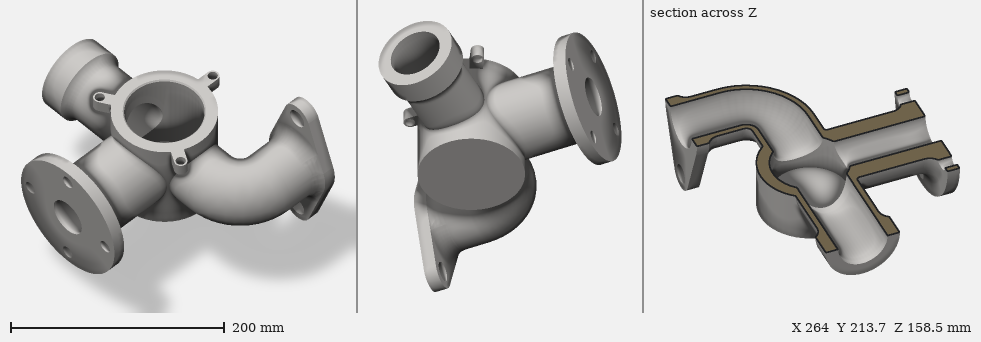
import cadquery as cq
import math

OVERALL_LENGTH = 264
GRID = OVERALL_LENGTH / 21

BODY_RADIUS = 4 * GRID
BODY_HALF_HEIGHT = 4 * GRID
CHAMBER_RADIUS = 3 * GRID
FLOOR_THICKNESS = GRID
RIM_CHAMFER = 1.3

LUG_COUNT = 3
LUG_REACH = 5 * GRID
LUG_RADIUS = GRID / 2
LUG_THICKNESS = GRID
LUG_HOLE_RADIUS = 4.8

PIPE_RADIUS = 2.5 * GRID
PIPE_BORE_RADIUS = 2 * GRID
COLLAR_END = 10 * GRID
COLLAR_LENGTH = 2 * GRID
COLLAR_RADIUS = 3 * GRID
BLEND_RADIUS = GRID

BEND_RADIUS = 3 * GRID
BEND_START_X = 5 * GRID
OUTLET_X = BEND_START_X + BEND_RADIUS
OUTLET_END_Y = 7 * GRID

OUTLET_FLANGE_THICKNESS = GRID
OUTLET_FLANGE_RADIUS = 3 * GRID
EAR_OFFSET = 5 * GRID
EAR_RADIUS = 16.4
EAR_HOLE_RADIUS = 9.5

BRANCH_RADIUS = 3 * GRID
BRANCH_BORE_RADIUS = 1.5 * GRID
BRANCH_END = 10 * GRID
BRANCH_FLANGE_RADIUS = 5 * GRID
BRANCH_FLANGE_THICKNESS = GRID
BOLT_CIRCLE_RADIUS = 4 * GRID
BOLT_HOLE_RADIUS = GRID / 2
BOLT_COUNT = 4


def rod(radius, start, direction, length):
    """Solid cylinder from a start point along a direction."""
    return cq.Workplane(cq.Solid.makeCylinder(radius, length, cq.Vector(*start), cq.Vector(*direction)))


def branch():
    """Flanged pipe pointing to -Y, with a concave blend behind its flange."""
    face = BRANCH_END - BRANCH_FLANGE_THICKNESS
    blend_start = face - BLEND_RADIUS
    blend_drop = BLEND_RADIUS * math.sqrt(0.5)
    blend_top = BRANCH_RADIUS + BLEND_RADIUS
    profile = (
        cq.Workplane("XY")
        .lineTo(BRANCH_RADIUS, 0)
        .lineTo(BRANCH_RADIUS, -blend_start)
        .threePointArc((blend_top - blend_drop, -blend_start - blend_drop), (blend_top, -face))
        .lineTo(BRANCH_FLANGE_RADIUS, -face)
        .lineTo(BRANCH_FLANGE_RADIUS, -BRANCH_END)
        .lineTo(0, -BRANCH_END)
        .close()
    )
    solid = profile.revolve(360, (0, 0, 0), (0, 1, 0))
    for i in range(BOLT_COUNT):
        angle = 2 * math.pi * i / BOLT_COUNT
        start = (BOLT_CIRCLE_RADIUS * math.cos(angle), -BRANCH_END, BOLT_CIRCLE_RADIUS * math.sin(angle))
        solid = solid.cut(rod(BOLT_HOLE_RADIUS, start, (0, 1, 0), BRANCH_FLANGE_THICKNESS + BLEND_RADIUS))
    return solid


def collared_pipe():
    """Pipe pointing to -X; an arc tangent to the pipe rises to the end collar."""
    collar_face = COLLAR_END - COLLAR_LENGTH
    rise = COLLAR_RADIUS - PIPE_RADIUS
    blend_angle = math.acos(1 - rise / BLEND_RADIUS)
    blend_start = collar_face - BLEND_RADIUS * math.sin(blend_angle)
    blend_middle = (
        -blend_start - BLEND_RADIUS * math.sin(blend_angle / 2),
        PIPE_RADIUS + BLEND_RADIUS * (1 - math.cos(blend_angle / 2)),
    )
    profile = (
        cq.Workplane("XY")
        .lineTo(0, PIPE_RADIUS)
        .lineTo(-blend_start, PIPE_RADIUS)
        .threePointArc(blend_middle, (-collar_face, COLLAR_RADIUS))
        .lineTo(-COLLAR_END, COLLAR_RADIUS)
        .lineTo(-COLLAR_END, 0)
        .close()
    )
    return profile.revolve(360, (0, 0, 0), (1, 0, 0))


def elbow_run(radius):
    """Round rod from the origin along +X, around the bend and up to the outlet face."""
    straight = rod(radius, (0, 0, 0), (1, 0, 0), BEND_START_X)
    bend = (
        cq.Workplane("YZ", origin=(BEND_START_X, 0, 0))
        .circle(radius)
        .revolve(90, (BEND_RADIUS, 0, 0), (BEND_RADIUS, 1, 0))
    )
    outlet = rod(radius, (OUTLET_X, BEND_RADIUS, 0), (0, 1, 0), OUTLET_END_Y - BEND_RADIUS)
    return straight.union(bend).union(outlet)


def ear_outline(thickness):
    """Round middle and two round ears joined by tangent lines, extruded towards -Y."""
    slope = math.asin((OUTLET_FLANGE_RADIUS - EAR_RADIUS) / EAR_OFFSET)
    across, along = math.cos(slope), math.sin(slope)
    middle_x, middle_z = OUTLET_FLANGE_RADIUS * across, OUTLET_FLANGE_RADIUS * along
    ear_x, ear_z = EAR_RADIUS * across, EAR_OFFSET + EAR_RADIUS * along
    ear_tip = EAR_OFFSET + EAR_RADIUS
    return (
        cq.Workplane("XZ", origin=(OUTLET_X, OUTLET_END_Y, 0))
        .moveTo(middle_x, -middle_z)
        .threePointArc((OUTLET_FLANGE_RADIUS, 0), (middle_x, middle_z))
        .lineTo(ear_x, ear_z)
        .threePointArc((0, ear_tip), (-ear_x, ear_z))
        .lineTo(-middle_x, middle_z)
        .threePointArc((-OUTLET_FLANGE_RADIUS, 0), (-middle_x, -middle_z))
        .lineTo(-ear_x, -ear_z)
        .threePointArc((0, -ear_tip), (ear_x, -ear_z))
        .close()
        .extrude(thickness)
    )


def outlet_flange():
    """Eared flange with its stub of pipe; a concave blend joins them and ends on the flange outline."""
    face = OUTLET_END_Y - OUTLET_FLANGE_THICKNESS
    stub = rod(PIPE_RADIUS, (OUTLET_X, BEND_RADIUS, 0), (0, 1, 0), face - BEND_RADIUS)
    root = cq.selectors.NearestToPointSelector((OUTLET_X, face, 0))
    flange = ear_outline(OUTLET_FLANGE_THICKNESS).union(stub)
    flange = flange.edges("%CIRCLE").edges(root).fillet(BLEND_RADIUS)
    for side in (-1, 1):
        start = (OUTLET_X, face, side * EAR_OFFSET)
        flange = flange.cut(rod(EAR_HOLE_RADIUS, start, (0, 1, 0), OUTLET_FLANGE_THICKNESS))
    return flange


def rim_lugs():
    """Round-ended lugs spaced evenly around the chamber rim, level with its top."""
    base = BODY_HALF_HEIGHT - LUG_THICKNESS
    bar = (
        cq.Workplane("XY", origin=(0, 0, base))
        .rect(2 * LUG_RADIUS, LUG_REACH, centered=(True, False))
        .extrude(LUG_THICKNESS)
    )
    tip = rod(LUG_RADIUS, (0, LUG_REACH, base), (0, 0, 1), LUG_THICKNESS)
    hole = rod(LUG_HOLE_RADIUS, (0, LUG_REACH, base), (0, 0, 1), LUG_THICKNESS)
    lug = bar.union(tip).cut(hole)
    lugs = lug
    for i in range(1, LUG_COUNT):
        lugs = lugs.union(lug.rotate((0, 0, 0), (0, 0, 1), 360 * i / LUG_COUNT))
    return lugs


def hollow():
    """Chamber with a chamfered rim, joined to the three bores."""
    floor = -BODY_HALF_HEIGHT + FLOOR_THICKNESS
    chamber = rod(CHAMBER_RADIUS, (0, 0, floor), (0, 0, 1), BODY_HALF_HEIGHT - floor)
    rim = cq.Workplane(
        cq.Solid.makeCone(
            CHAMBER_RADIUS,
            CHAMBER_RADIUS + RIM_CHAMFER,
            RIM_CHAMFER,
            cq.Vector(0, 0, BODY_HALF_HEIGHT - RIM_CHAMFER),
        )
    )
    inlet_bore = rod(PIPE_BORE_RADIUS, (0, 0, 0), (-1, 0, 0), COLLAR_END)
    branch_bore = rod(BRANCH_BORE_RADIUS, (0, 0, 0), (0, -1, 0), BRANCH_END)
    return (
        chamber.union(rim)
        .union(inlet_bore)
        .union(branch_bore)
        .union(elbow_run(PIPE_BORE_RADIUS))
    )


body = rod(BODY_RADIUS, (0, 0, -BODY_HALF_HEIGHT), (0, 0, 1), 2 * BODY_HALF_HEIGHT)
outside = (
    body.union(branch())
    .union(collared_pipe())
    .union(elbow_run(PIPE_RADIUS))
    .union(outlet_flange())
    .union(rim_lugs())
)
result = outside.cut(hollow())